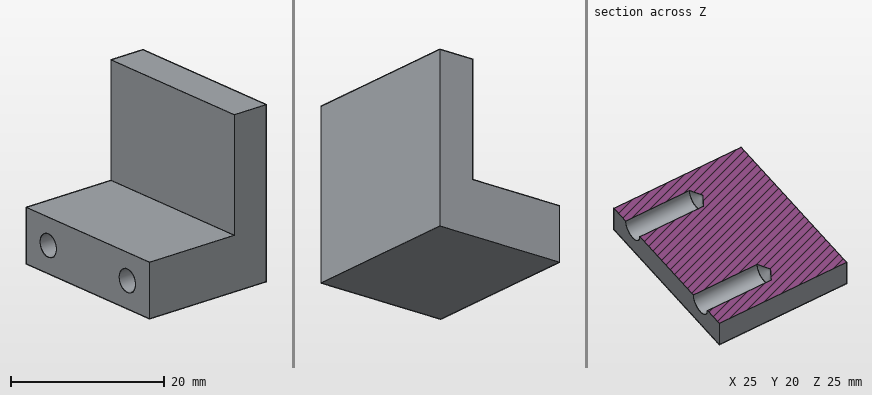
import cadquery as cq
import math

width = 25.0
depth = 20.0
height = 25.0
wall_thickness = 5.5
base_height = 8.0

hole_diameter = 3.3
hole_spacing = 16.0
hole_depth = 10.0
drill_point_angle = 118.0
hole_height = base_height / 2


def make_bracket():
    """Base block with an upright wall along its back edge."""
    base = cq.Workplane("XY").box(width, depth, base_height, centered=False)
    wall = (
        cq.Workplane("XY")
        .box(width, wall_thickness, height, centered=False)
        .translate((0, depth - wall_thickness, 0))
    )
    return base.union(wall)


def make_drilled_hole(x):
    """Cylindrical bore along +Y that ends in a conical drill point."""
    radius = hole_diameter / 2
    point_length = radius / math.tan(math.radians(drill_point_angle / 2))
    half_section = (
        cq.Workplane("XY")
        .moveTo(0, 0)
        .lineTo(radius, 0)
        .lineTo(radius, hole_depth)
        .lineTo(0, hole_depth + point_length)
        .close()
    )
    bore = half_section.revolve(360, (0, 0, 0), (0, 1, 0))
    return bore.translate((x, 0, hole_height))


result = make_bracket()
for side in (-1, 1):
    result = result.cut(make_drilled_hole(width / 2 + side * hole_spacing / 2))